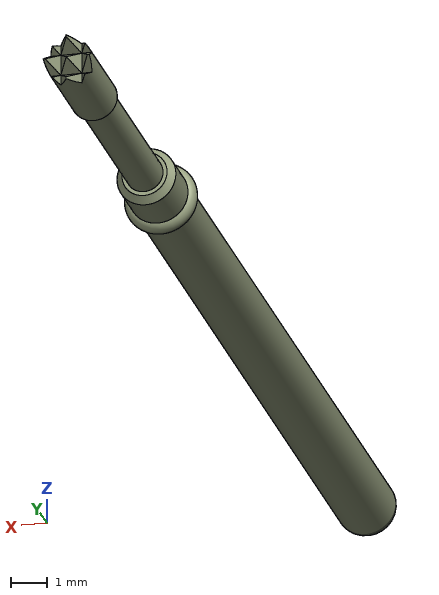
import cadquery as cq
import math

total_length = 32.3
tail_y = -total_length / 2
tip_y = total_length / 2

head_radius = 0.65
head_length = 2.97
groove_offset = 0.295
groove_angle = 57
groove_depth = groove_offset / math.tan(math.radians(groove_angle / 2))

shaft_radius = 0.52
collar_distance = 8.3

barrel_diameter = 1.65
barrel_radius = barrel_diameter / 2
collar_chamfer = 0.2
tail_fillet = 0.5

ring_diameter = 2.05
ring_radius = ring_diameter / 2
ring_width = 0.52
ring_distance = 10.05


def rod(radius, start_y, end_y):
    """Round bar on the Y axis between two positions."""
    return cq.Workplane("XZ", origin=(0, end_y, 0)).circle(radius).extrude(end_y - start_y)


def make_barrel():
    """Barrel with a rounded tail and a chamfered front edge."""
    barrel = rod(barrel_radius, tail_y, tip_y - collar_distance)
    barrel = barrel.faces("<Y").edges().fillet(tail_fillet)
    return barrel.faces(">Y").edges().chamfer(collar_chamfer)


def make_ring():
    """Ring with a rounded crest, revolved around the Y axis."""
    ring_y = tip_y - ring_distance
    half_width = ring_width / 2
    profile = (
        cq.Workplane("XY")
        .moveTo(0, ring_y - half_width)
        .lineTo(barrel_radius, ring_y - half_width)
        .threePointArc((ring_radius, ring_y), (barrel_radius, ring_y + half_width))
        .lineTo(0, ring_y + half_width)
        .close()
    )
    return profile.revolve(360, (0, 0, 0), (0, 1, 0))


def make_groove(center_x):
    """V groove running along Z across the tip, with one edge meeting the axis."""
    return (
        cq.Workplane("XY")
        .moveTo(center_x - groove_offset, tip_y)
        .lineTo(center_x, tip_y - groove_depth)
        .lineTo(center_x + groove_offset, tip_y)
        .close()
        .extrude(2 * head_radius, both=True)
    )


def make_head():
    """Head whose tip is cut into points by two crossing pairs of V grooves."""
    head = rod(head_radius, tip_y - head_length, tip_y)
    for center_x in (-groove_offset, groove_offset):
        groove = make_groove(center_x)
        head = head.cut(groove)
        head = head.cut(groove.rotate((0, 0, 0), (0, 1, 0), 90))
    return head


shaft = rod(shaft_radius, tip_y - collar_distance, tip_y - head_length)

result = make_barrel().union(make_ring()).union(shaft).union(make_head())